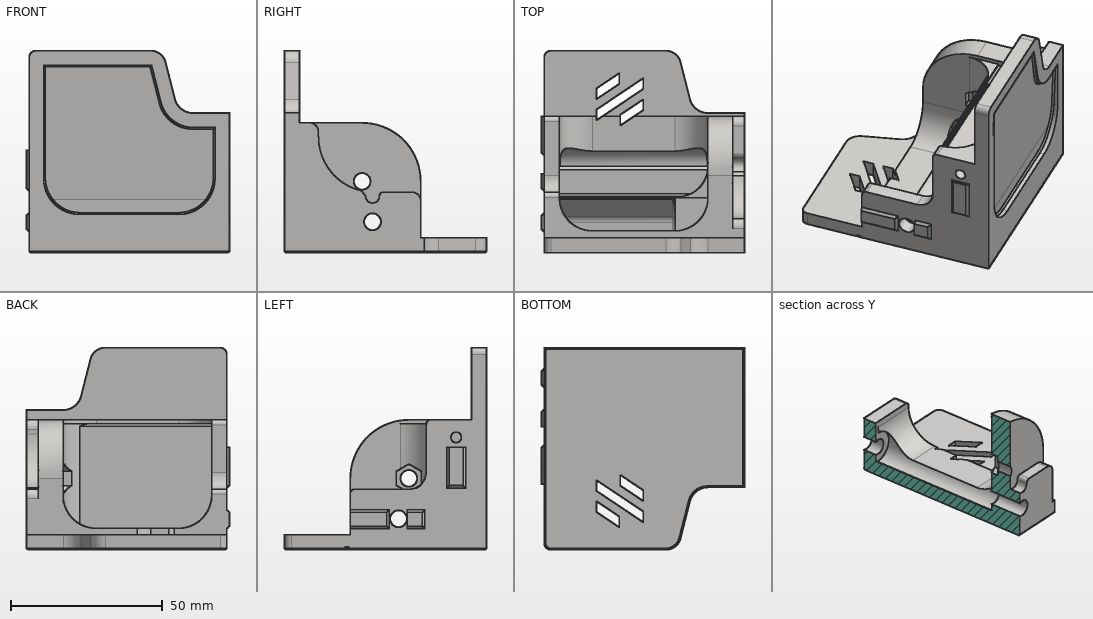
import cadquery as cq
import math

width = 66.1
plate_length = 66.7
plate_thickness = 5.0
plate_low_edge = 46.15
plate_slope_start = 44.1
plate_slope_end = 49.3
plate_corner_radius = 2.2
slope_top_radius = 5.0
slope_foot_radius = 6.0
block_depth = 45.0
block_height = 42.95
bottom_chamfer = 0.5

upper_screw_y = 25.65
upper_screw_z = 23.6
upper_screw_diameter = 5.4
nut_across_flats = 8.2
nut_depth = 2.7
lower_screw_y = 29.1
lower_screw_z = 10.25
lower_screw_diameter = 5.5
screw_tunnel_radius = 11.0 / 2
pin_y = 10.05
pin_z = 37.1
pin_diameter = 3.5
pin_depth = 4.0

cavity_left = 5.0
cavity_right = 54.1
cavity_radius = 10.9
rim_front = 7.25
front_step_height = 41.2
ridge_height = 41.6
ridge_front = 18.15
ridge_bevel = 0.9
well_front = 19.55
well_floor = 5.6
well_floor_end = 27.4
well_lip = 1.15
well_corner_start = 18.5
well_corner_radius = 10.05
trough_floor = 7.1
slant_front_edge = 17.6
slant_pocket_right = 43.3
slant_pocket_floor = 34.85
slant_radius = 2.7
slant_side_radius = 1.1

left_ledge_height = 20.0
left_ledge_front = 19.95
left_ledge_radius = 5.55
edge_rounding = 1.6

saddle_left = 62.2
saddle_front = 8.2
saddle_lip_radius = 3.1
saddle_radius = 18.2
saddle_floor = left_ledge_height
saddle_end_radius = 3.0
saddle_groove_radius = 2.3
saddle_groove_rounding = 1.35

rib_height = 0.9
rib_root = 0.7
upright_rib_y = (6.9, 13.1)
upright_rib_z = (20.4, 33.9)
level_rib_z = (7.0, 13.2)
level_ribs_y = ((32.15, block_depth), (20.4, 26.1))

recess_margin = 4.75
recess_bottom = 12.65
recess_corner_radius = 12.0
recess_floor_kink = 17.7
recess_depth = 2.15
recess_top_depth = 0.7
recess_bevel = 0.6

nick_start = 45.55
nick_length = 1.1
nick_top = 0.95
nick_depth = 1.0

slot_columns = (17.35, 24.8, 25.2, 32.7)
slot_lows = (50.8, 43.8, 42.1)
slot_slope = 0.67
slot_height = 3.5

past = 0.7


def box(x_range, y_range, z_range):
    size = [high - low for low, high in (x_range, y_range, z_range)]
    corner = (x_range[0], y_range[0], z_range[0])
    return cq.Workplane("XY").box(*size, centered=False).translate(corner)


def side_sketch(x):
    """Workplane facing +X whose own axes are Y and Z."""
    return cq.Workplane("YZ", origin=(x, 0, 0))


def plate(plane, thickness):
    return (
        cq.Workplane(plane)
        .polyline([
            (0, 0),
            (width, 0),
            (width, plate_low_edge),
            (plate_slope_end, plate_low_edge),
            (plate_slope_start, plate_length),
            (0, plate_length),
        ])
        .close()
        .extrude(thickness)
    )


def round_plate(body, axis):
    """Round the three corners of a plate whose thickness runs along the given axis."""
    corners = (
        (0, plate_length, plate_corner_radius),
        (plate_slope_start, plate_length, slope_top_radius),
        (plate_slope_end, plate_low_edge, slope_foot_radius),
    )
    middle = plate_thickness / 2
    for x, reach, radius in corners:
        point = (x, reach, middle) if axis == "Z" else (x, middle, reach)
        nearest = cq.selectors.NearestToPointSelector(point)
        body = body.edges(f"|{axis}").edges(nearest).fillet(radius)
    return body


def block():
    """Block behind the front plate, with its rear top edge rounded about the upper screw."""
    radius = block_height - upper_screw_z
    return (
        side_sketch(0)
        .lineTo(block_depth, 0)
        .lineTo(block_depth, upper_screw_z)
        .radiusArc((upper_screw_y, block_height), -radius)
        .lineTo(0, block_height)
        .close()
        .extrude(width)
    )


def top_step():
    """Shallow step in the top face, rounded at the front and slightly deeper there."""
    cavity_x = (cavity_left, cavity_right)
    front = box(cavity_x, (rim_front, block_depth), (front_step_height, block_height))
    front = front.edges("|Z and <Y").fillet(cavity_radius)
    front = front.intersect(box((0, width), (0, ridge_front), (0, plate_length)))
    rear = box(cavity_x, (ridge_front, block_depth), (ridge_height, block_height))
    return front.union(rear)


def slant_pocket():
    """Pocket in front of the ridge with a 45 degree rear wall."""
    drop = front_step_height - slant_pocket_floor
    pocket = (
        side_sketch(cavity_left)
        .moveTo(rim_front, slant_pocket_floor)
        .lineTo(slant_front_edge - drop, slant_pocket_floor)
        .lineTo(slant_front_edge, front_step_height)
        .lineTo(ridge_front, ridge_height)
        .lineTo(ridge_front, block_height)
        .lineTo(rim_front, block_height)
        .close()
        .extrude(slant_pocket_right - cavity_left)
    )
    fold = (slant_pocket_right / 2, slant_front_edge - drop, slant_pocket_floor)
    pocket = pocket.edges(cq.selectors.NearestToPointSelector(fold)).fillet(slant_radius)
    pocket = pocket.faces("<Z").edges(">X").fillet(slant_side_radius)
    rounded = box((cavity_left, cavity_right), (rim_front, block_depth), (0, plate_length))
    return pocket.intersect(rounded.edges("|Z and <Y").fillet(cavity_radius))


def well():
    """Deep well behind the bevelled ridge, ending in the tunnel around the lower screw.

    Its front right corner is cut off by a round corner that starts on the ridge.
    """
    lip_end = well_floor_end + well_lip
    lip_drop = math.sqrt(screw_tunnel_radius**2 - (lower_screw_y - lip_end) ** 2)
    shape = (
        side_sketch(cavity_left)
        .moveTo(well_front, well_floor)
        .lineTo(well_floor_end, well_floor)
        .lineTo(lip_end, lower_screw_z - lip_drop)
        .threePointArc(
            (lower_screw_y + screw_tunnel_radius, lower_screw_z),
            (lower_screw_y, lower_screw_z + screw_tunnel_radius),
        )
        .lineTo(lower_screw_y, ridge_height)
        .lineTo(well_front - ridge_bevel, ridge_height)
        .lineTo(well_front, ridge_height - ridge_bevel)
        .close()
        .extrude(cavity_right - cavity_left)
    )
    rounded = box((cavity_left, cavity_right), (well_corner_start, block_depth), (0, ridge_height))
    return shape.intersect(rounded.edges("|Z and <Y and >X").fillet(well_corner_radius))


def trough():
    """Round-bottomed trough leading from the screw tunnel out through the back."""
    shape = box(
        (cavity_left, cavity_right), (lower_screw_y, block_depth + past), (trough_floor, block_height)
    )
    return shape.edges("|Y and <Z").fillet(cavity_radius)


def left_ledge():
    """Space above the lowered rear part of the left wall."""
    return (
        side_sketch(0)
        .moveTo(block_depth, left_ledge_height - edge_rounding)
        .radiusArc((block_depth - edge_rounding, left_ledge_height), -edge_rounding)
        .lineTo(left_ledge_front + left_ledge_radius, left_ledge_height)
        .radiusArc((left_ledge_front, left_ledge_height + left_ledge_radius), left_ledge_radius)
        .lineTo(left_ledge_front, block_height - edge_rounding)
        .radiusArc((left_ledge_front - edge_rounding, block_height), -edge_rounding)
        .lineTo(block_depth, block_height)
        .close()
        .extrude(cavity_left)
    )


def saddle():
    """Space above the lowered outer half of the right wall, with a cable groove across its floor."""
    wall_y = saddle_front + saddle_lip_radius
    center_y = wall_y + saddle_radius
    center_z = saddle_floor + saddle_radius
    groove_front = lower_screw_y - saddle_groove_radius
    groove_rear = lower_screw_y + saddle_groove_radius
    groove_z = saddle_floor - saddle_groove_rounding
    bowl_end = groove_front - saddle_groove_rounding
    bowl_end_z = center_z - math.sqrt(saddle_radius**2 - (center_y - bowl_end) ** 2)
    return (
        side_sketch(saddle_left)
        .moveTo(saddle_front, block_height)
        .radiusArc((wall_y, block_height - saddle_lip_radius), saddle_lip_radius)
        .lineTo(wall_y, center_z)
        .radiusArc((bowl_end, bowl_end_z), -saddle_radius)
        .lineTo(groove_front, groove_z)
        .threePointArc((lower_screw_y, groove_z - saddle_groove_radius), (groove_rear, groove_z))
        .radiusArc((groove_rear + saddle_groove_rounding, saddle_floor), saddle_groove_rounding)
        .lineTo(block_depth - saddle_end_radius, saddle_floor)
        .radiusArc((block_depth, saddle_floor - saddle_end_radius), saddle_end_radius)
        .lineTo(block_depth, block_height)
        .close()
        .extrude(width - saddle_left)
    )


def screw_cuts():
    """Both screw holes, the nut trap in the right wall and the blind pin hole in the left face."""
    nut_start = cavity_right - well_corner_radius
    upper = (
        side_sketch(nut_start)
        .center(upper_screw_y, upper_screw_z)
        .circle(upper_screw_diameter / 2)
        .extrude(width)
    )
    nut = (
        side_sketch(nut_start)
        .center(upper_screw_y, upper_screw_z)
        .polygon(6, nut_across_flats, circumscribed=True)
        .extrude(cavity_right + nut_depth - nut_start)
    )
    lower = (
        side_sketch(-past)
        .center(lower_screw_y, lower_screw_z)
        .circle(lower_screw_diameter / 2)
        .extrude(width + 2 * past)
    )
    pin = side_sketch(0).center(pin_y, pin_z).circle(pin_diameter / 2).extrude(pin_depth)
    return upper.union(nut).union(lower).union(pin)


def rib(y_range, z_range, square_end):
    """Keying rib on the left face, bevelled on every side but one."""
    shape = box((-rib_height, rib_root), y_range, z_range)
    return shape.faces("<X").edges(f"not {square_end}").chamfer(rib_height)


def front_recess():
    """Recess with a bevelled floor that leans forward towards the top."""
    side = width - recess_margin
    top = plate_length - recess_margin
    low_top = plate_low_edge - recess_margin
    lean = math.atan2(plate_slope_end - plate_slope_start, plate_length - plate_low_edge)
    shift = recess_margin * (math.tan(lean) - 1 / math.cos(lean))
    shape = (
        cq.Workplane("XZ")
        .polyline([
            (recess_margin, recess_bottom),
            (side, recess_bottom),
            (side, low_top),
            (plate_slope_end + shift, low_top),
            (plate_slope_start + shift, top),
            (recess_margin, top),
        ])
        .close()
        .extrude(-recess_depth)
    )
    shape = shape.edges("|Y and <Z").fillet(recess_corner_radius)
    foot = (plate_slope_end + shift, recess_depth / 2, low_top)
    foot_edge = shape.edges("|Y").edges(cq.selectors.NearestToPointSelector(foot))
    shape = foot_edge.fillet(slope_foot_radius + recess_margin)
    leaning_floor = (
        side_sketch(0)
        .moveTo(recess_depth, recess_floor_kink)
        .lineTo(recess_top_depth, top)
        .lineTo(recess_depth, top)
        .close()
        .extrude(width)
    )
    shape = shape.cut(leaning_floor)
    kink_point = (width / 2, recess_depth, recess_floor_kink)
    kink = shape.edges(cq.selectors.NearestToPointSelector(kink_point)).val()
    floor_edges = shape.edges("not (|Y or <Y)").vals()
    rim = [edge for edge in floor_edges if not edge.isSame(kink)]
    return shape.newObject(rim).chamfer(recess_bevel)


def slots():
    """Three slanted slots through the bottom plate."""
    left, left_end, right_start, right = slot_columns
    cuts = cq.Workplane("XY")
    spans = ((left, left_end), (left, right), (right_start, right))
    for (start, end), low in zip(spans, slot_lows):
        rise = slot_slope * (end - start)
        cuts = (
            cuts.moveTo(start, low)
            .lineTo(end, low + rise)
            .lineTo(end, low + rise + slot_height)
            .lineTo(start, low + slot_height)
            .close()
        )
    return cuts.extrude(trough_floor + past)


def edge_nick():
    """Small nick just above the bottom chamfer."""
    return box((0, nick_depth), (nick_start, nick_start + nick_length), (bottom_chamfer, nick_top))


bottom_plate = round_plate(plate("XY", plate_thickness), "Z")
front_plate = round_plate(plate("XZ", -plate_thickness), "Y")
result = bottom_plate.union(front_plate).union(block())
result = result.faces("<Z").edges().chamfer(bottom_chamfer)
for cutter in (
    top_step(), slant_pocket(), well(), trough(),
    left_ledge(), saddle(), screw_cuts(), front_recess(), slots(), edge_nick(),
):
    result = result.cut(cutter)
result = result.union(rib(upright_rib_y, upright_rib_z, ">Z"))
for rib_y in level_ribs_y:
    result = result.union(rib(rib_y, level_rib_z, ">Y"))